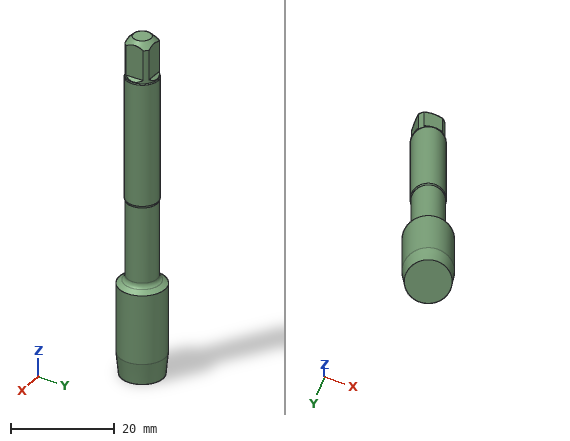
import cadquery as cq
import math

total_length = 75.1

thread_diameter = 10.18
tip_diameter = 9.26
lead_length = 4.75
head_length = 20.05

neck_diameter = 6.7
neck_top_z = 38.65

flare_slope = math.radians(33)
flare_round_radius = 1.3
flare_turn = math.pi / 2 - flare_slope
cone_top_radius = neck_diameter / 2 + flare_round_radius * (1 - math.cos(flare_turn))
cone_top_z = head_length + (thread_diameter / 2 - cone_top_radius) * math.tan(flare_slope)
flare_top_z = cone_top_z + flare_round_radius * math.sin(flare_turn)
round_middle = (
    neck_diameter / 2 + flare_round_radius * (1 - math.cos(flare_turn / 2)),
    flare_top_z - flare_round_radius * math.sin(flare_turn / 2),
)

shank_diameter = 7.0
shank_bottom_z = 39.1
shank_top_z = 66.1

drive_diameter = 6.72
drive_across_flats = 5.5
drive_bottom_z = 66.34
flat_count = 4
flats_length = 8.0
flats_bottom_z = total_length - flats_length
end_chamfer = 1.4


def make_head():
    """Cylindrical thread envelope with a tapered lead at the tip."""
    profile = (
        cq.Workplane("XZ")
        .lineTo(tip_diameter / 2, 0)
        .lineTo(thread_diameter / 2, lead_length)
        .lineTo(thread_diameter / 2, head_length)
        .lineTo(0, head_length)
        .close()
    )
    return profile.revolve(360, (0, 0, 0), (0, 1, 0))


def make_turned_shank():
    """Flare, neck, shank and round drive end as one turned shape."""
    profile = (
        cq.Workplane("XZ")
        .moveTo(0, head_length)
        .lineTo(thread_diameter / 2, head_length)
        .lineTo(cone_top_radius, cone_top_z)
        .threePointArc(round_middle, (neck_diameter / 2, flare_top_z))
        .lineTo(neck_diameter / 2, neck_top_z)
        .lineTo(shank_diameter / 2, shank_bottom_z)
        .lineTo(shank_diameter / 2, shank_top_z)
        .lineTo(drive_diameter / 2, drive_bottom_z)
        .lineTo(drive_diameter / 2, total_length - end_chamfer)
        .lineTo(drive_diameter / 2 - end_chamfer, total_length)
        .lineTo(0, total_length)
        .close()
    )
    return profile.revolve(360, (0, 0, 0), (0, 1, 0))


def make_flat_cutter():
    """Block that mills one drive flat, running out at 45 degrees onto the shank."""
    inner = drive_across_flats / 2
    outer = shank_diameter
    return (
        cq.Workplane("XZ")
        .moveTo(inner, flats_bottom_z)
        .lineTo(outer, flats_bottom_z - (outer - inner))
        .lineTo(outer, total_length)
        .lineTo(inner, total_length)
        .close()
        .extrude(shank_diameter / 2, both=True)
    )


def make_shank():
    """Turned shank with the four flats of the square drive milled on its end."""
    shank = make_turned_shank()
    for flat in range(flat_count):
        angle = 360 * flat / flat_count
        shank = shank.cut(make_flat_cutter().rotate((0, 0, 0), (0, 0, 1), angle))
    return shank


head = make_head()
shank = make_shank()
result = cq.Compound.makeCompound([head.val(), shank.val()])